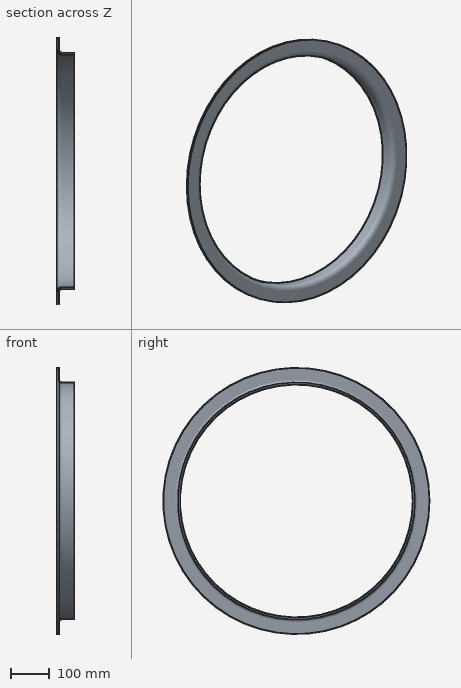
import cadquery as cq

flange_diameter = 685.0
collar_outer_diameter = 609.6
wall = 6.0
total_length = 45.0
outer_bend_radius = 7.0

flange_radius = flange_diameter / 2
collar_outer_radius = collar_outer_diameter / 2
collar_inner_radius = collar_outer_radius - wall
inner_bend_radius = outer_bend_radius + wall


def make_blank():
    """Sharp-cornered flanged collar, revolved about X with the flange face at X = 0."""
    return (
        cq.Workplane("XY")
        .moveTo(0, collar_inner_radius)
        .lineTo(0, flange_radius)
        .lineTo(wall, flange_radius)
        .lineTo(wall, collar_outer_radius)
        .lineTo(total_length, collar_outer_radius)
        .lineTo(total_length, collar_inner_radius)
        .close()
        .revolve(360, (0, 0, 0), (1, 0, 0))
    )


def round_bend(ring):
    """Round the turn from flange to collar, on the bore side and on the outside."""
    bore_edge = cq.selectors.RadiusNthSelector(0)
    root_edge = cq.selectors.RadiusNthSelector(0)
    ring = ring.faces("<X").edges(bore_edge).fillet(inner_bend_radius)
    flange_back = ring.faces(cq.selectors.NearestToPointSelector((wall, 0, 0)))
    return flange_back.edges(root_edge).fillet(outer_bend_radius)


result = round_bend(make_blank())